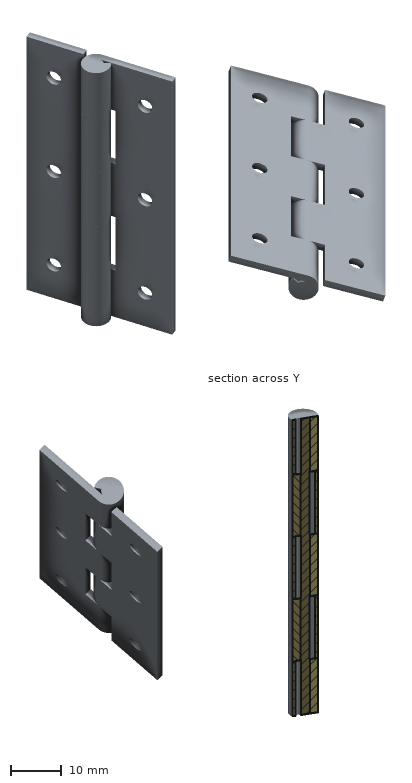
import cadquery as cq
import math

height = 65.0
open_width = 32.0
knuckle_radius = 3.0
pin_radius = 1.5
end_knuckle_height = 12.0
knuckle_count = 5
notch_half_width = 3.5
curl_end_angle = 29.0

screw_hole_diameter = 3.2
screw_hole_offset = 10.0
screw_hole_pitch = 24.0
screw_hole_count = 3

half_width = open_width / 2
sheet_thickness = knuckle_radius - pin_radius
inner_knuckle_height = (height - 2 * end_knuckle_height) / (knuckle_count - 2)
bottom = -height / 2

inner_joints = [
    bottom + end_knuckle_height + i * inner_knuckle_height for i in range(knuckle_count - 1)
]
joints = [bottom, *inner_joints, height / 2]


def polar(radius, angle):
    """Point at an angle in degrees about the pin axis."""
    radians = math.radians(angle)
    return (radius * math.cos(radians), radius * math.sin(radians))


def make_plate():
    """Flat sheet on the +X side, ending clear of the knuckles."""
    return (
        cq.Workplane("XY")
        .workplane(offset=bottom)
        .moveTo(notch_half_width, pin_radius)
        .lineTo(half_width, pin_radius)
        .lineTo(half_width, knuckle_radius)
        .lineTo(notch_half_width, knuckle_radius)
        .close()
        .extrude(height)
    )


def make_knuckle(low, high):
    """Tongue of sheet running from the plate and curling around the pin."""
    curl_middle_angle = (90 + 360 + curl_end_angle) / 2
    return (
        cq.Workplane("XY")
        .workplane(offset=low)
        .moveTo(notch_half_width, knuckle_radius)
        .lineTo(0, knuckle_radius)
        .threePointArc(polar(knuckle_radius, curl_middle_angle), polar(knuckle_radius, curl_end_angle))
        .lineTo(*polar(pin_radius, curl_end_angle))
        .threePointArc(polar(pin_radius, curl_middle_angle), (0, pin_radius))
        .lineTo(notch_half_width, pin_radius)
        .close()
        .extrude(high - low)
    )


def make_screw_holes():
    """Cutters for the column of screw holes through a plate."""
    return (
        cq.Workplane("XZ", origin=(screw_hole_offset, knuckle_radius, 0))
        .rarray(0.65, screw_hole_pitch, 1, screw_hole_count)
        .circle(screw_hole_diameter / 2)
        .extrude(sheet_thickness)
    )


def make_leaf(first_knuckle):
    """Leaf on the +X side carrying every second knuckle, counted from the bottom."""
    leaf = make_plate()
    for i in range(first_knuckle, knuckle_count, 2):
        leaf = leaf.union(make_knuckle(joints[i], joints[i + 1]))
    return leaf.cut(make_screw_holes())


def make_pin():
    """Plain pin, flush with both ends of the hinge."""
    return cq.Workplane("XY").workplane(offset=bottom).circle(pin_radius).extrude(height)


right_leaf = make_leaf(first_knuckle=0)
left_leaf = make_leaf(first_knuckle=1).mirror("YZ")
pin = make_pin()

result = cq.Compound.makeCompound([right_leaf.solids().val(), left_leaf.solids().val(), pin.val()])